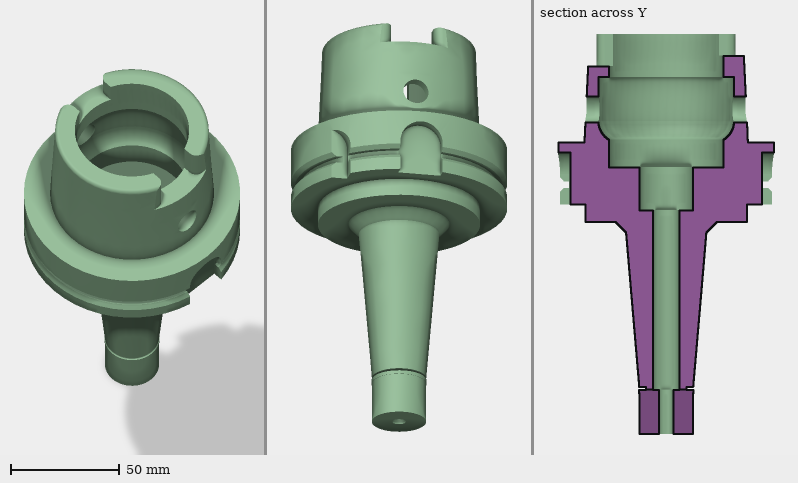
import cadquery as cq
import math

top_z = 185.0
flange_top_z = 135.0
flange_bottom_z = 106.0
collar_bottom_z = 98.0
nose_top_z = 93.0
nose_bottom_z = 21.6
nut_top_z = 20.5
nut_rim_bottom_z = 18.9

shank_top_radius = 35.5
shank_base_radius = 38.0
shank_lip_fillet = 1.8

flange_diameter = 100.0
flange_radius = flange_diameter / 2
groove_mid_z = 115.3
groove_half_width = 1.5
groove_mouth_half_width = 3.3
groove_radius = 46.0
groove_bevel_radius = 48.3
collar_radius = 37.5

nose_cone_radius = 23.5
nose_top_radius = 18.7
nose_tip_radius = 12.5
neck_radius = 9.5

bore_radius = 26.5
bore_lip_depth = 20.0
undercut_radius = 31.3
undercut_straight_depth = 40.3
undercut_arc_radius = 10.0
bore_floor_depth = 61.6
coolant_thread_radius = 12.2
coolant_thread_depth = 20.0
spindle_hole_radius = 6.0

drive_slot_half_width = 10.0
drive_end_x = 32.2
drive_corner_radius = 4.0
left_drive_depth = 10.0
right_drive_depth = 15.0

access_hole_radius = 6.0
access_hole_z = 150.0

recess_radius = 10.0
recess_top_z = 130.0
keyway_floor_x = 44.4
notch_floor_x = 31.6
notch_center_y = 41.5

nut_rim_radius = 12.8
nut_radius = 12.5
nut_hole_radius = 3.1


def turned(profile):
    """Solid of revolution about Z from (radius, height) points."""
    return cq.Workplane("XZ").polyline(profile).close().revolve(360, (0, 0, 0), (0, 1, 0))


def holder_blank():
    """Outside of the holder without the cut-outs."""
    groove_low = groove_mid_z - groove_half_width
    groove_high = groove_mid_z + groove_half_width
    mouth_low = groove_mid_z - groove_mouth_half_width
    mouth_high = groove_mid_z + groove_mouth_half_width
    blank = turned([
        (0, top_z),
        (shank_top_radius, top_z),
        (shank_base_radius, flange_top_z),
        (flange_radius, flange_top_z),
        (flange_radius, mouth_high),
        (groove_bevel_radius, groove_high),
        (groove_radius, groove_high),
        (groove_radius, groove_low),
        (groove_bevel_radius, groove_low),
        (flange_radius, mouth_low),
        (flange_radius, flange_bottom_z),
        (collar_radius, flange_bottom_z),
        (collar_radius, collar_bottom_z),
        (nose_cone_radius, collar_bottom_z),
        (nose_top_radius, nose_top_z),
        (nose_tip_radius, nose_bottom_z),
        (neck_radius, nose_bottom_z),
        (neck_radius, nut_top_z),
        (0, nut_top_z),
    ])
    return blank.faces(">Z").edges().fillet(shank_lip_fillet)


def holder_bore():
    """Stepped bore: undercut that curves back in to the bore, coolant thread and spindle hole."""
    undercut_top_z = top_z - bore_lip_depth
    arc_top_z = top_z - undercut_straight_depth
    arc_center_radius = undercut_radius - undercut_arc_radius
    arc_end_angle = math.acos((bore_radius - arc_center_radius) / undercut_arc_radius)
    arc_end_z = arc_top_z - undercut_arc_radius * math.sin(arc_end_angle)
    arc_mid_radius = arc_center_radius + undercut_arc_radius * math.cos(arc_end_angle / 2)
    arc_mid_z = arc_top_z - undercut_arc_radius * math.sin(arc_end_angle / 2)
    floor_z = top_z - bore_floor_depth
    thread_end_z = floor_z - coolant_thread_depth
    return (
        cq.Workplane("XZ")
        .moveTo(0, top_z)
        .lineTo(bore_radius, top_z)
        .lineTo(bore_radius, undercut_top_z)
        .lineTo(undercut_radius, undercut_top_z)
        .lineTo(undercut_radius, arc_top_z)
        .threePointArc((arc_mid_radius, arc_mid_z), (bore_radius, arc_end_z))
        .lineTo(bore_radius, floor_z)
        .lineTo(coolant_thread_radius, floor_z)
        .lineTo(coolant_thread_radius, thread_end_z)
        .lineTo(spindle_hole_radius, thread_end_z)
        .lineTo(spindle_hole_radius, nut_top_z)
        .lineTo(0, nut_top_z)
        .close()
        .revolve(360, (0, 0, 0), (0, 1, 0))
    )


def drive_slot(side, depth):
    """Slot in the shank rim at -X (side = -1) or +X (side = 1), flared by rounded corners."""
    half = drive_slot_half_width
    corner = drive_corner_radius
    outer_x = side * flange_radius
    end_x = side * drive_end_x
    tangent_x = side * (drive_end_x - corner)
    mid_x = side * (drive_end_x - corner * (1 - math.sqrt(0.5)))
    mid_y = half + corner * (1 - math.sqrt(0.5))
    return (
        cq.Workplane("XY", origin=(0, 0, top_z - depth))
        .moveTo(0, -half)
        .lineTo(tangent_x, -half)
        .threePointArc((mid_x, -mid_y), (end_x, -half - corner))
        .lineTo(end_x, -flange_radius)
        .lineTo(outer_x, -flange_radius)
        .lineTo(outer_x, flange_radius)
        .lineTo(end_x, flange_radius)
        .lineTo(end_x, half + corner)
        .threePointArc((mid_x, mid_y), (tangent_x, half))
        .lineTo(0, half)
        .close()
        .extrude(depth)
    )


def rim_recess(side, floor_x, center_y):
    """Round-topped recess from the flange rim inward to a flat floor at the given X distance."""
    arc_center_z = recess_top_z - recess_radius
    return (
        cq.Workplane("YZ", origin=(side * floor_x, 0, 0))
        .moveTo(center_y - recess_radius, flange_bottom_z)
        .lineTo(center_y - recess_radius, arc_center_z)
        .threePointArc((center_y, recess_top_z), (center_y + recess_radius, arc_center_z))
        .lineTo(center_y + recess_radius, flange_bottom_z)
        .close()
        .extrude(side * flange_radius)
    )


def access_hole():
    """Cross hole along X through both walls of the shank."""
    return (
        cq.Workplane("YZ", origin=(0, 0, access_hole_z))
        .circle(access_hole_radius)
        .extrude(shank_base_radius, both=True)
    )


def build_holder():
    holder = holder_blank().cut(holder_bore()).cut(access_hole())
    holder = holder.cut(drive_slot(-1, left_drive_depth))
    holder = holder.cut(drive_slot(1, right_drive_depth))
    for side in (-1, 1):
        holder = holder.cut(rim_recess(side, keyway_floor_x, 0))
    return holder.cut(rim_recess(-1, notch_floor_x, notch_center_y))


def build_nut():
    """Clamping nut with a slightly wider rim at its upper end and a through hole."""
    return turned([
        (nut_hole_radius, nut_top_z),
        (nut_rim_radius, nut_top_z),
        (nut_rim_radius, nut_rim_bottom_z),
        (nut_radius, nut_rim_bottom_z),
        (nut_radius, 0),
        (nut_hole_radius, 0),
    ])


holder = build_holder()
nut = build_nut()

result = cq.Compound.makeCompound([holder.val(), nut.val()])